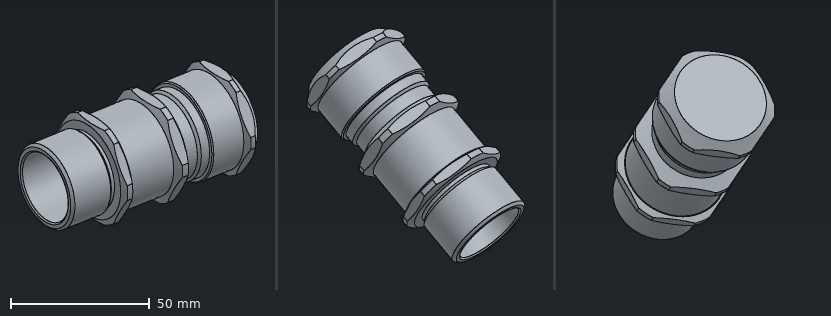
import cadquery as cq
import math

LENGTH = 84
ACROSS_FLATS = 40.0
THREAD_END = -LENGTH / 2
CAP_END = LENGTH / 2

THREAD_DIA = 33.3
THREAD_LENGTH = 18.65
THREAD_CHAMFER = 1.1
NECK_DIA = 30.8
NECK_LENGTH = 1.4
BORE_DIA = 27.0
BORE_DEPTH = 17.7
BORE_CHAMFER = 0.6

ENTRY_CORNER_DIA = 43.0
ENTRY_FACE_DIA = 38.0
ENTRY_WIDTH = 4.9
ENTRY_BEVEL = 1.3

BODY_DIA = 37.4
BODY_LENGTH = 19.6
CORNER_DIA = 43.5
MIDDLE_WIDTH = 7.4
MIDDLE_FRONT_BEVEL = 1.7
MIDDLE_REAR_BEVEL = 3.0

WAIST_DIA = 33.0
WAIST_LENGTH = 5.1
COLLAR_DIA = 35.0
COLLAR_LENGTH = 4.8
COLLAR_CHAMFER = (COLLAR_DIA - WAIST_DIA) / 2

CAP_DIA = 38.6
CAP_CHAMFER = 0.5
CAP_HEX_WIDTH = 8.0
CAP_HEX_FRONT_BEVEL = 1.35
CAP_END_DIA = 34.4
CAP_CONE_LENGTH = (CORNER_DIA - CAP_END_DIA) / 2

neck_start = THREAD_END + THREAD_LENGTH
entry_start = neck_start + NECK_LENGTH
body_start = entry_start + ENTRY_WIDTH
middle_start = body_start + BODY_LENGTH
waist_start = middle_start + MIDDLE_WIDTH
collar_start = waist_start + WAIST_LENGTH
cap_start = collar_start + COLLAR_LENGTH
cap_hex_start = CAP_END - CAP_HEX_WIDTH


def revolve_profile(profile):
    """Solid of revolution about Y from (diameter, y) pairs in ascending y."""
    outline = [(0, profile[0][1])]
    outline += [(diameter / 2, y) for diameter, y in profile]
    outline.append((0, profile[-1][1]))
    return cq.Workplane("XY").polyline(outline).close().revolve(360, (0, 0), (0, 1))


def beveled_hexagon(start, end, front_dia, front_bevel, corner_dia, rear_bevel, rear_dia):
    """Hexagon with corners along X, trimmed to a turned blank with conical bevels."""
    blank = revolve_profile([
        (front_dia, start),
        (corner_dia, start + front_bevel),
        (corner_dia, end - rear_bevel),
        (rear_dia, end),
    ])
    prism = (
        cq.Workplane("XZ", origin=(0, start, 0))
        .polygon(6, ACROSS_FLATS / math.cos(math.pi / 6))
        .extrude(start - end)
    )
    return blank.intersect(prism)


core = revolve_profile([
    (THREAD_DIA - 2 * THREAD_CHAMFER, THREAD_END),
    (THREAD_DIA, THREAD_END + THREAD_CHAMFER),
    (THREAD_DIA, neck_start - (THREAD_DIA - NECK_DIA) / 2),
    (NECK_DIA, neck_start),
    (NECK_DIA, entry_start),
    (BODY_DIA, entry_start),
    (BODY_DIA, middle_start),
    (WAIST_DIA, middle_start),
    (WAIST_DIA, collar_start),
    (COLLAR_DIA, collar_start + COLLAR_CHAMFER),
    (COLLAR_DIA, cap_start),
    (CAP_DIA - 2 * CAP_CHAMFER, cap_start),
    (CAP_DIA, cap_start + CAP_CHAMFER),
    (CAP_DIA, cap_hex_start),
    (CAP_END_DIA, cap_hex_start),
    (CAP_END_DIA, CAP_END),
])

entry_hexagon = beveled_hexagon(
    entry_start, body_start,
    ENTRY_FACE_DIA, ENTRY_BEVEL, ENTRY_CORNER_DIA, ENTRY_BEVEL, ENTRY_FACE_DIA,
)
middle_hexagon = beveled_hexagon(
    middle_start, waist_start,
    BODY_DIA, MIDDLE_FRONT_BEVEL, CORNER_DIA, MIDDLE_REAR_BEVEL, WAIST_DIA,
)
cap_hexagon = beveled_hexagon(
    cap_hex_start, CAP_END,
    CAP_DIA, CAP_HEX_FRONT_BEVEL, CORNER_DIA, CAP_CONE_LENGTH, CAP_END_DIA,
)

bore = revolve_profile([
    (BORE_DIA + 2 * BORE_CHAMFER, THREAD_END),
    (BORE_DIA, THREAD_END + BORE_CHAMFER),
    (BORE_DIA, THREAD_END + BORE_DEPTH),
])

result = core.union(entry_hexagon).union(middle_hexagon).union(cap_hexagon).cut(bore)